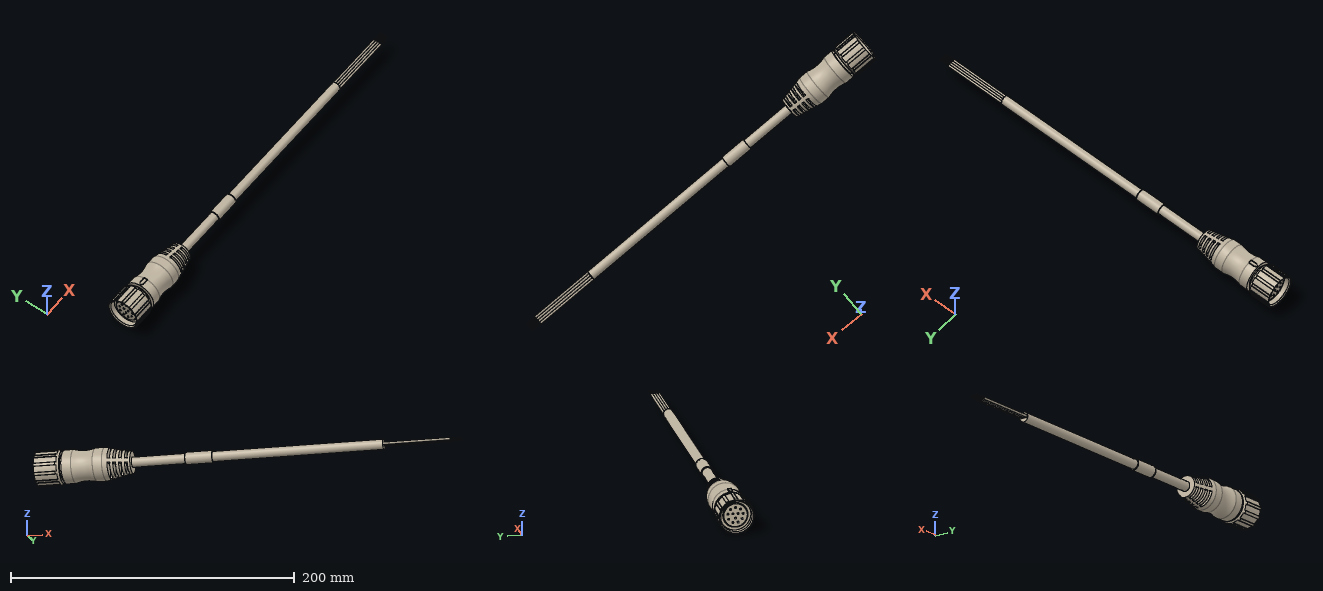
import cadquery as cq
import math


NUT_RADIUS = 13.0
NUT_TAPER_START = 16.0
NUT_LENGTH = 18.5
NUT_END_RADIUS = 11.5
NUT_RIB_COUNT = 12
NUT_GROOVE_DEPTH = 0.55
NUT_RIB_WIDTH = 2.2

SOCKET_RADIUS = 11.2
SOCKET_MOUTH_CHAMFER = 1.0
SOCKET_DEPTH = 5.0
INSERT_RADIUS = 9.0
INSERT_DEPTH = 3.7
INSERT_CHAMFER = 0.5
CONTACT_HOLE_RADIUS = 0.5
CONTACT_HOLE_DEPTH = 3.0
OUTER_CONTACT_COUNT = 9
OUTER_CONTACT_CIRCLE = 5.5
INNER_CONTACT_COUNT = 3
INNER_CONTACT_CIRCLE = 2.2

NECK_RADIUS = 9.3
BODY_START = 20.2
BODY_RADIUS = 12.0
WAIST_START = 27.5
WAIST_END = 43.2
WAIST_RADIUS = 11.0
BOOT_START = 50.0
BOOT_END = 69.7
BOOT_END_RADIUS = 8.0

ARROW_TIP = BODY_START
ARROW_SHOULDER = 22.5
ARROW_END = WAIST_START
ARROW_WIDTH = 2.8
ARROW_TOP = 12.8

BOOT_GROOVE_COUNT = 4
BOOT_GROOVE_START = 53.8
BOOT_GROOVE_PITCH = 4.0
BOOT_GROOVE_WIDTH = 2.0
BOOT_RIB_WIDTH = 3.0

CABLE_RADIUS = 3.7
CABLE_END = 254.0
SLEEVE_WALL = 0.78
SLEEVE_RADIUS = CABLE_RADIUS + SLEEVE_WALL
SLEEVE_START = 109.0
SLEEVE_LENGTH = 20.0

TOTAL_LENGTH = 311.0
WIRE_COUNT = 4
WIRE_RADIUS = CABLE_RADIUS / WIRE_COUNT
CONDUCTOR_RADIUS = 0.37
CONDUCTOR_LENGTH = 7.5


def rod(radius, start, end, y=0.0):
    """Cylinder along X, offset sideways by y."""
    return cq.Workplane("YZ", origin=(start, y, 0)).circle(radius).extrude(end - start)


def tube(outer, inner, start, end):
    return rod(outer, start, end).cut(rod(inner, start, end))


def turned_shell():
    """Nut, neck, waisted body and tapered boot as one turned shape."""
    outline = (
        cq.Workplane("XY")
        .lineTo(0, NUT_RADIUS)
        .lineTo(NUT_TAPER_START, NUT_RADIUS)
        .lineTo(NUT_LENGTH, NUT_END_RADIUS)
        .lineTo(NUT_LENGTH, NECK_RADIUS)
        .lineTo(BODY_START, NECK_RADIUS)
        .lineTo(BODY_START, BODY_RADIUS)
        .lineTo(WAIST_START, BODY_RADIUS)
        .threePointArc(((WAIST_START + WAIST_END) / 2, WAIST_RADIUS), (WAIST_END, BODY_RADIUS))
        .lineTo(BOOT_START, BODY_RADIUS)
        .lineTo(BOOT_END, BOOT_END_RADIUS)
        .lineTo(BOOT_END, 0)
    )
    return outline.close().revolve(360, (0, 0, 0), (1, 0, 0))


def nut_grooves():
    """Shallow lengthwise grooves that leave straight ribs around the nut."""
    grooves = tube(NUT_RADIUS, NUT_RADIUS - NUT_GROOVE_DEPTH, 0, NUT_LENGTH)
    for i in range(NUT_RIB_COUNT // 2):
        rib = cq.Workplane("XY").box(
            NUT_LENGTH, NUT_RIB_WIDTH, 2 * NUT_RADIUS, centered=(False, True, True)
        )
        grooves = grooves.cut(rib.rotate((0, 0, 0), (1, 0, 0), i * 360 / NUT_RIB_COUNT))
    return grooves


def socket():
    """Round recess with a bevelled mouth."""
    bore = rod(SOCKET_RADIUS, 0, SOCKET_DEPTH)
    mouth = cq.Solid.makeCone(
        SOCKET_RADIUS + SOCKET_MOUTH_CHAMFER,
        SOCKET_RADIUS,
        SOCKET_MOUTH_CHAMFER,
        dir=cq.Vector(1, 0, 0),
    )
    return bore.union(cq.Workplane(mouth))


def contact_insert():
    """Round boss on the socket floor."""
    insert = rod(INSERT_RADIUS, INSERT_DEPTH, SOCKET_DEPTH)
    return insert.faces("<X").chamfer(INSERT_CHAMFER)


def contact_holes():
    """Outer ring starting at the top and inner ring starting at the bottom."""
    places = []
    for count, circle, first in (
        (OUTER_CONTACT_COUNT, OUTER_CONTACT_CIRCLE, math.pi / 2),
        (INNER_CONTACT_COUNT, INNER_CONTACT_CIRCLE, -math.pi / 2),
    ):
        for i in range(count):
            angle = first + 2 * math.pi * i / count
            places.append((circle * math.cos(angle), circle * math.sin(angle)))
    return (
        cq.Workplane("YZ", origin=(INSERT_DEPTH, 0, 0))
        .pushPoints(places)
        .circle(CONTACT_HOLE_RADIUS)
        .extrude(CONTACT_HOLE_DEPTH)
    )


def arrow_pad():
    """Flat-topped pad pointing towards the nut."""
    half = ARROW_WIDTH / 2
    return (
        cq.Workplane("XY")
        .polyline(
            [
                (ARROW_TIP, 0),
                (ARROW_SHOULDER, half),
                (ARROW_END, half),
                (ARROW_END, -half),
                (ARROW_SHOULDER, -half),
            ]
        )
        .close()
        .extrude(ARROW_TOP)
    )


def boot_grooves():
    """Ring grooves down to the cable surface, interrupted by ribs at +-Y and +-Z."""
    groove = tube(BODY_RADIUS, CABLE_RADIUS, 0, BOOT_GROOVE_WIDTH)
    for width, height in ((2 * BODY_RADIUS, BOOT_RIB_WIDTH), (BOOT_RIB_WIDTH, 2 * BODY_RADIUS)):
        rib = cq.Workplane("XY").box(BOOT_GROOVE_WIDTH, width, height, centered=(False, True, True))
        groove = groove.cut(rib)
    first = groove.translate((BOOT_GROOVE_START, 0, 0))
    return [first.translate((i * BOOT_GROOVE_PITCH, 0, 0)) for i in range(BOOT_GROOVE_COUNT)]


def make_connector_cable():
    """Connector, cable and marker sleeve."""
    body = turned_shell().cut(nut_grooves()).cut(socket())
    body = body.union(contact_insert()).cut(contact_holes()).union(arrow_pad())
    for groove in boot_grooves():
        body = body.cut(groove)
    body = body.union(rod(CABLE_RADIUS, SOCKET_DEPTH + CONTACT_HOLE_DEPTH, CABLE_END))
    return body.union(rod(SLEEVE_RADIUS, SLEEVE_START, SLEEVE_START + SLEEVE_LENGTH))


def make_wire(y):
    """One insulated wire with its stripped conductor end."""
    insulation_end = TOTAL_LENGTH - CONDUCTOR_LENGTH
    insulation = rod(WIRE_RADIUS, CABLE_END, insulation_end, y)
    return insulation.union(rod(CONDUCTOR_RADIUS, insulation_end, TOTAL_LENGTH, y))


connector_cable = make_connector_cable()
first_wire_y = WIRE_RADIUS - CABLE_RADIUS
wires = [make_wire(first_wire_y + i * 2 * WIRE_RADIUS) for i in range(WIRE_COUNT)]

result = cq.Compound.makeCompound([connector_cable.val(), *[wire.val() for wire in wires]])